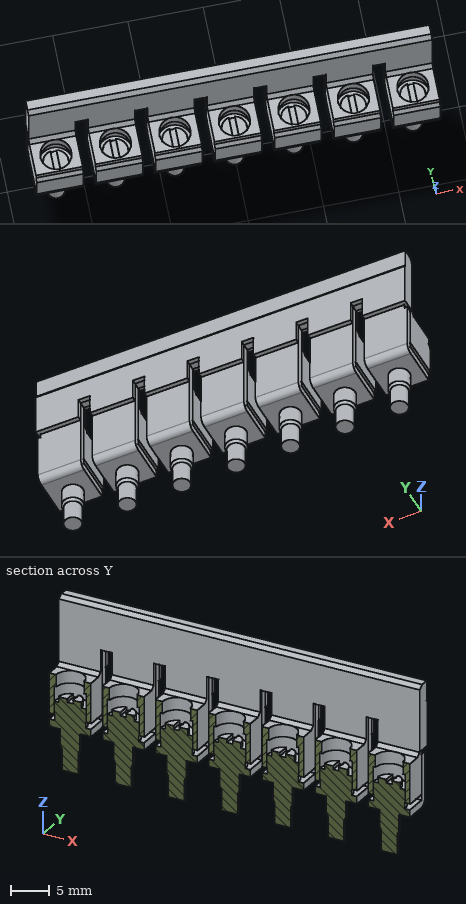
import cadquery as cq


terminal_count = 7
terminal_pitch = 7.9
terminal_width = 6.23
total_length = (terminal_count - 1) * terminal_pitch + terminal_width
gap_width = terminal_pitch - terminal_width
first_terminal_x = -(terminal_count - 1) * terminal_pitch / 2
first_gap_x = first_terminal_x + terminal_pitch / 2

total_height = 24.0
spine_front = -2.1
spine_bottom = 14.35
rear_step_depth = 0.15
rear_step_drop = 3.0
rear_step_z = total_height - rear_step_drop
top_chamfer_y = 0.65
top_chamfer_z = 0.5
gap_top = 17.55

block_front = -7.54
root_bevel_z = 0.5
block_top = spine_bottom - root_bevel_z
block_bottom = 7.9
root_bevel_y = 0.6
nose_set_back = 0.5
nose_step_drop = 1.0
nose_bevel_height = 0.45
nose_step_z = block_top - nose_step_drop
nose_bevel_z = nose_step_z - nose_bevel_height

leg_back = -0.65
leg_thickness = 0.95
leg_front = leg_back - leg_thickness
foot_front = block_front + nose_set_back
foot_top = 7.1
foot_thickness = 1.15
foot_bottom = foot_top - foot_thickness
bend_radius = 1.0
comb_rise = 3.0
comb_top = gap_top + comb_rise
comb_end_inset = 0.4
comb_length = total_length - 2 * comb_end_inset

screw_y = -4.7
head_diameter = 4.7
head_height = 2.8
head_top = foot_top + head_height
crown_diameter = 3.4
crown_height = 0.8
slot_width = 0.8
slot_depth = 0.5
shank_diameter = 2.95
tip_diameter = 2.45
shank_end = 3.5
taper_height = 0.45
tip_start = shank_end - taper_height

access_diameter = 4.1
access_depth = 1.8


def terminal_positions():
    return [first_terminal_x + i * terminal_pitch for i in range(terminal_count)]


def extruded_profile(points, x_centre, width):
    """Solid with a (Y, Z) outline, centred on x_centre along X."""
    return cq.Workplane("YZ", origin=(x_centre, 0, 0)).polyline(points).close().extrude(width / 2, both=True)


def box_between(x_centre, width, y_range, z_range):
    y_low, y_high = sorted(y_range)
    z_low, z_high = sorted(z_range)
    return (
        cq.Workplane("XY")
        .box(width, y_high - y_low, z_high - z_low, centered=(True, False, False))
        .translate((x_centre, y_low, z_low))
    )


def upright_cylinder(x, diameter, z_low, z_high):
    """Cylinder on the screw axis of the terminal at x."""
    return cq.Workplane("XY", origin=(x, screw_y, z_low)).circle(diameter / 2).extrude(z_high - z_low)


def cut_gaps(body):
    """Open the gaps between neighbouring terminals, up to gap_top."""
    for i in range(terminal_count - 1):
        gap_x = first_gap_x + i * terminal_pitch
        body = body.cut(box_between(gap_x, gap_width, (0, spine_front), (block_top, gap_top)))
    return body


def make_comb_plate():
    comb_plate = box_between(0, comb_length, (leg_back, leg_front), (block_top, comb_top))
    return cut_gaps(comb_plate)


def make_spine():
    outline = [
        (0, spine_bottom),
        (0, rear_step_z),
        (-rear_step_depth, rear_step_z),
        (-rear_step_depth, total_height),
        (spine_front + top_chamfer_y, total_height),
        (spine_front, total_height - top_chamfer_z),
        (spine_front, spine_bottom),
    ]
    return extruded_profile(outline, 0, total_length)


def make_block(x):
    outline = [
        (leg_front, spine_bottom),
        (spine_front, spine_bottom),
        (spine_front - root_bevel_y, block_top),
        (block_front + nose_set_back, block_top),
        (block_front + nose_set_back, nose_step_z),
        (block_front, nose_bevel_z),
        (block_front, block_bottom),
        (leg_front, block_bottom),
    ]
    return extruded_profile(outline, x, terminal_width)


def make_block_bore(x):
    """Narrow access hole on top, widening to a seat that fits the screw head."""
    seat_ceiling = block_top - access_depth
    access_hole = upright_cylinder(x, access_diameter, seat_ceiling, block_top)
    seat = upright_cylinder(x, head_diameter, block_bottom, seat_ceiling)
    return access_hole.union(seat)


def make_housing():
    housing = cut_gaps(make_spine())
    for x in terminal_positions():
        housing = housing.union(make_block(x)).cut(make_block_bore(x))
    return housing.cut(make_comb_plate())


def make_bracket(x):
    outline = [
        (leg_back, block_top),
        (leg_front, block_top),
        (leg_front, foot_top),
        (foot_front, foot_top),
        (foot_front, foot_bottom),
        (leg_back, foot_bottom),
    ]
    bent_plate = extruded_profile(outline, x, terminal_width)
    return bent_plate.edges("|X and >Y and <Z").fillet(bend_radius)


def make_screw(x):
    head = upright_cylinder(x, head_diameter, foot_top, head_top)
    crown_top = head_top + crown_height
    crown = upright_cylinder(x, crown_diameter, head_top, crown_top)
    slot_y_range = (screw_y - crown_diameter / 2, screw_y + crown_diameter / 2)
    slot = box_between(x, slot_width, slot_y_range, (crown_top - slot_depth, crown_top))
    shank = upright_cylinder(x, shank_diameter, shank_end, foot_top)
    taper = (
        cq.Workplane("XY", origin=(x, screw_y, tip_start))
        .circle(tip_diameter / 2)
        .workplane(offset=taper_height)
        .circle(shank_diameter / 2)
        .loft()
    )
    tip = upright_cylinder(x, tip_diameter, 0, tip_start)
    return head.union(crown.cut(slot)).union(shank).union(taper).union(tip)


def make_insert():
    insert = make_comb_plate()
    for x in terminal_positions():
        insert = insert.union(make_bracket(x)).union(make_screw(x))
    return insert


housing = make_housing()
insert = make_insert()
result = cq.Compound.makeCompound([housing.val(), insert.val()])